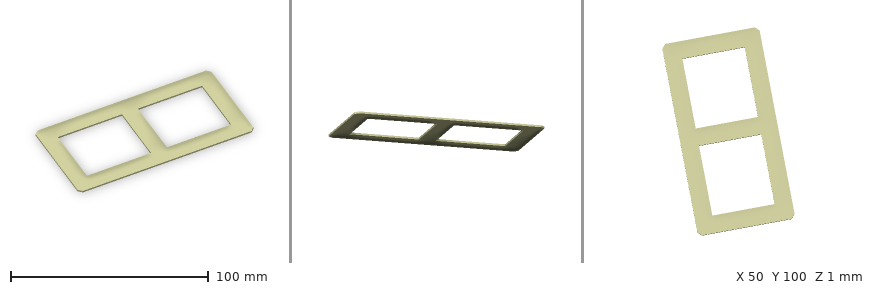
import cadquery as cq

width = 50.0
length = 100.0
thickness = 1.0
corner_chamfer = 2.0

bar_width = 9.0
window_width = width - 2 * bar_width
window_length = (length - 3 * bar_width) / 2
window_pitch = window_length + bar_width

plate = (
    cq.Workplane("XY")
    .box(width, length, thickness)
    .edges("|Z")
    .chamfer(corner_chamfer)
)

result = (
    plate.faces(">Z")
    .workplane()
    .rarray(1, window_pitch, 1, 2)
    .rect(window_width, window_length)
    .cutThruAll()
)